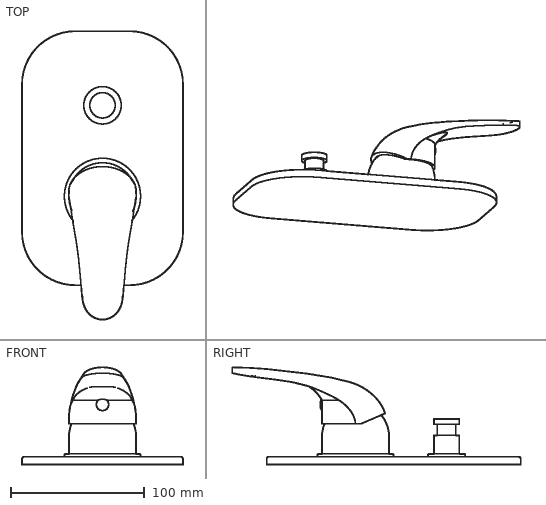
import cadquery as cq
import math


OVERALL_LENGTH = 215.67

PLATE_WIDTH = 120.5
PLATE_LENGTH = 190.0
PLATE_THICKNESS = 6.0
PLATE_CENTER_Y = 28.5
PLATE_CORNER_RADIUS = 40.0
PLATE_EDGE_RADIUS = 2.0

BUTTON_Y = 68.0
BUTTON_RADIUS = 9.5
BUTTON_NECK_RADIUS = 7.0
BUTTON_FLANGE_RADIUS = 14.0
BUTTON_FLANGE_TOP = 8.0
BUTTON_SHOULDER_TOP = 21.7
BUTTON_CAP_BOTTOM = 30.0
BUTTON_CAP_TOP = 34.1

BODY_RADIUS = 25.15
BODY_FLANGE_RADIUS = 28.5
BODY_FLANGE_TOP = 8.0
BODY_CYLINDER_TOP = 23.0
DOME_MIDDLE = (23.3, 30.3)
DOME_TOP = (19.4, 36.8)
FLANGE_EDGE_RADIUS = 1.0

LEVER_BOTTOM = 30.3
LEVER_HALF_WIDTH = 25.2
HOOD_BASE_Y = 3.7
HOOD_SECTIONS = [
    ((HOOD_BASE_Y, LEVER_BOTTOM), (22.2, 38.2), LEVER_HALF_WIDTH),
    ((2.8, LEVER_BOTTOM), (18.3, 46.0), LEVER_HALF_WIDTH),
    ((1.5, LEVER_BOTTOM), (9.4, 55.0), LEVER_HALF_WIDTH),
    ((0.0, LEVER_BOTTOM), (-4.3, 61.7), LEVER_HALF_WIDTH),
]
ARM_SECTIONS = [
    HOOD_SECTIONS[-1],
    ((-13.0, 43.0), (-14.0, 64.2), 23.9),
    ((-25.0, 52.8), (-25.0, 66.3), 21.3),
    ((-51.9, 61.0), (-51.9, 70.0), 17.5),
    ((-75.0, 64.3), (-75.0, 72.1), 15.5),
    ((-93.0, 66.4), (-93.0, 72.74), 14.2),
]
UNDERSIDE_POINTS = [
    (0.0, LEVER_BOTTOM),
    (-1.6, 36.5),
    (-8.4, 45.1),
    (-23.2, 53.7),
    (-33.9, 58.1),
    (-60.7, 63.5),
    (-95.0, 69.0),
]
TIP_Y = PLATE_CENTER_Y + PLATE_LENGTH / 2 - OVERALL_LENGTH
TIP_ROUND_Y = -75.0
TIP_HALF_WIDTH = 15.1
TIP_EDGE_BOTTOM = 69.0
TIP_EDGE_TOP = 72.3
TIP_EDGE_RADIUS = 0.8

NECK_CYLINDER_TOP = 48.0
NECK_FLARE_MIDDLE = (29.0, 53.4)
NECK_FLARE_TOP = (34.5, 58.0)
INDICATOR_RADIUS = 4.6
INDICATOR_Z = 44.9
INDICATOR_PROTRUSION = 1.4

ELLIPSE_HANDLE = 4 * (math.sqrt(2) - 1) / 3
CLEARANCE = 30.0


def disc(radius, bottom, top, y=0.0):
    return cq.Workplane("XY", origin=(0, y, bottom)).circle(radius).extrude(top - bottom)


def make_plate():
    plate = cq.Workplane("XY").rect(PLATE_WIDTH, PLATE_LENGTH).extrude(PLATE_THICKNESS)
    plate = plate.edges("|Z").fillet(PLATE_CORNER_RADIUS)
    plate = plate.faces(">Z").edges().fillet(PLATE_EDGE_RADIUS)
    return plate.translate((0, PLATE_CENTER_Y, 0))


def make_flange(radius, top, y=0.0):
    return disc(radius, 0, top, y).faces(">Z").edges().fillet(FLANGE_EDGE_RADIUS)


def make_button():
    button = make_flange(BUTTON_FLANGE_RADIUS, BUTTON_FLANGE_TOP, BUTTON_Y)
    button = button.union(disc(BUTTON_RADIUS, 0, BUTTON_SHOULDER_TOP, BUTTON_Y))
    button = button.union(disc(BUTTON_NECK_RADIUS, 0, BUTTON_CAP_TOP, BUTTON_Y))
    return button.union(disc(BUTTON_RADIUS, BUTTON_CAP_BOTTOM, BUTTON_CAP_TOP, BUTTON_Y))


def make_body():
    body = (
        cq.Workplane("XZ")
        .lineTo(BODY_RADIUS, 0)
        .lineTo(BODY_RADIUS, BODY_CYLINDER_TOP)
        .threePointArc(DOME_MIDDLE, DOME_TOP)
        .lineTo(0, DOME_TOP[1])
        .close()
        .revolve(360, (0, 0, 0), (0, 1, 0))
    )
    return body.union(make_flange(BODY_FLANGE_RADIUS, BODY_FLANGE_TOP))


def half_arch(base, crest, half_width):
    """Quarter ellipse on the +X side of the YZ plane, its long side running from base to crest."""
    rise_y = crest[0] - base[0]
    rise_z = crest[1] - base[1]
    height = math.hypot(rise_y, rise_z)
    plane = cq.Plane(origin=(0, *base), xDir=(1, 0, 0), normal=(0, -rise_z, rise_y))
    handle_width = ELLIPSE_HANDLE * half_width
    handle_height = ELLIPSE_HANDLE * height
    control_points = [(half_width, 0), (half_width, handle_height), (handle_width, height), (0, height)]
    return cq.Workplane(plane).lineTo(half_width, 0).bezier(control_points).close().val()


def loft_arches(sections):
    half = cq.Workplane(cq.Solid.makeLoft([half_arch(*section) for section in sections]))
    return half.union(half.mirror("YZ"), clean=False)


def make_shell():
    """Arched lever volume before its underside and tip are trimmed."""
    return loft_arches(HOOD_SECTIONS).union(loft_arches(ARM_SECTIONS), clean=False)


def side_region(corners):
    """Slab across the lever, bounded by the underside curve and the given YZ corners."""
    outline = cq.Workplane("YZ").moveTo(*UNDERSIDE_POINTS[0])
    outline = outline.spline(UNDERSIDE_POINTS[1:], includeCurrent=True)
    for corner in corners:
        outline = outline.lineTo(*corner)
    return outline.close().extrude(LEVER_HALF_WIDTH + CLEARANCE, both=True)


def make_tip_outline():
    """Plan area that gives the arm its rounded end."""
    size = 2 * CLEARANCE
    height = LEVER_BOTTOM + size
    rounded = cq.Workplane("XY", origin=(0, TIP_ROUND_Y, 0))
    rounded = rounded.ellipse(TIP_HALF_WIDTH, TIP_ROUND_Y - TIP_Y).extrude(height)
    behind = cq.Workplane("XY", origin=(0, TIP_ROUND_Y, 0))
    behind = behind.box(size, CLEARANCE - TIP_ROUND_Y, height, centered=(True, False, False))
    return rounded.union(behind)


def make_arm():
    tip_y, tip_z = UNDERSIDE_POINTS[-1]
    above = tip_z + CLEARANCE
    behind = HOOD_BASE_Y + CLEARANCE
    upper = side_region([(tip_y, above), (behind, above), (behind, LEVER_BOTTOM)])
    arm = make_shell().intersect(upper).intersect(make_tip_outline())
    reach = LEVER_HALF_WIDTH
    tip_box = cq.selectors.BoxSelector(
        (-reach, TIP_Y - 1, TIP_EDGE_BOTTOM), (reach, TIP_ROUND_Y, TIP_EDGE_TOP)
    )
    return arm.edges(tip_box).fillet(TIP_EDGE_RADIUS)


def make_neck():
    neck = (
        cq.Workplane("XZ")
        .moveTo(0, LEVER_BOTTOM)
        .lineTo(BODY_RADIUS, LEVER_BOTTOM)
        .lineTo(BODY_RADIUS, NECK_CYLINDER_TOP)
        .threePointArc(NECK_FLARE_MIDDLE, NECK_FLARE_TOP)
        .lineTo(0, NECK_FLARE_TOP[1])
        .close()
        .revolve(360, (0, 0, 0), (0, 1, 0))
    )
    below_arm = side_region([(UNDERSIDE_POINTS[-1][0], LEVER_BOTTOM)])
    return neck.intersect(below_arm)


def make_indicator():
    """Round, domed temperature mark on the front of the neck."""
    crown_radius = (INDICATOR_RADIUS**2 + INDICATOR_PROTRUSION**2) / (2 * INDICATOR_PROTRUSION)
    center_y = crown_radius - BODY_RADIUS - INDICATOR_PROTRUSION
    crown = cq.Workplane("XY").sphere(crown_radius).translate((0, center_y, INDICATOR_Z))
    stem = cq.Workplane("XZ").center(0, INDICATOR_Z).circle(INDICATOR_RADIUS)
    stem = stem.extrude(BODY_RADIUS + INDICATOR_PROTRUSION)
    return crown.intersect(stem)


result = (
    make_plate()
    .union(make_button())
    .union(make_body())
    .union(make_arm())
    .union(make_neck())
    .union(make_indicator())
)